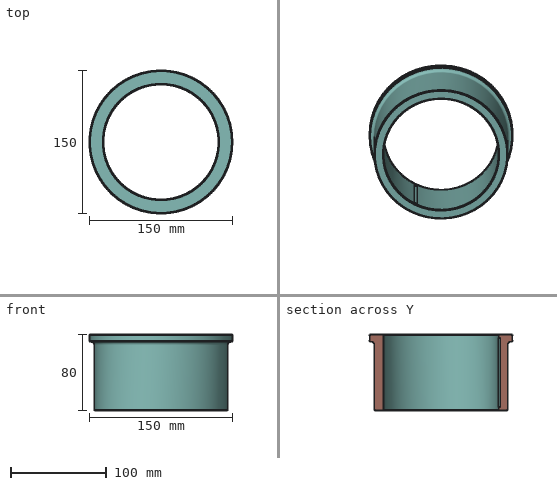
import cadquery as cq

flange_diameter = 150.0
body_diameter = 140.0
bore_diameter = 120.0
total_height = 80.0
flange_thickness = 8.0
neck_fillet = 3.5
edge_chamfer = 1.0
groove_radius = 1.5
groove_end_margin = 4.0

flange_radius = flange_diameter / 2
body_radius = body_diameter / 2
bore_radius = bore_diameter / 2
flange_underside = total_height - flange_thickness

half_section = (
    cq.Workplane("XZ")
    .moveTo(bore_radius, edge_chamfer)
    .lineTo(bore_radius + edge_chamfer, 0)
    .lineTo(body_radius - edge_chamfer, 0)
    .lineTo(body_radius, edge_chamfer)
    .lineTo(body_radius, flange_underside - neck_fillet)
    .radiusArc((body_radius + neck_fillet, flange_underside), neck_fillet)
    .lineTo(flange_radius - edge_chamfer, flange_underside)
    .lineTo(flange_radius, flange_underside + edge_chamfer)
    .lineTo(flange_radius, total_height - edge_chamfer)
    .lineTo(flange_radius - edge_chamfer, total_height)
    .lineTo(bore_radius + edge_chamfer, total_height)
    .lineTo(bore_radius, total_height - edge_chamfer)
    .close()
)

bush = half_section.revolve(360, (0, 0, 0), (0, 1, 0))

groove_length = total_height - 2 * groove_end_margin
groove_cutter = (
    cq.Workplane("XY", origin=(bore_radius, 0, groove_end_margin))
    .circle(groove_radius)
    .extrude(groove_length)
)

result = bush.cut(groove_cutter)